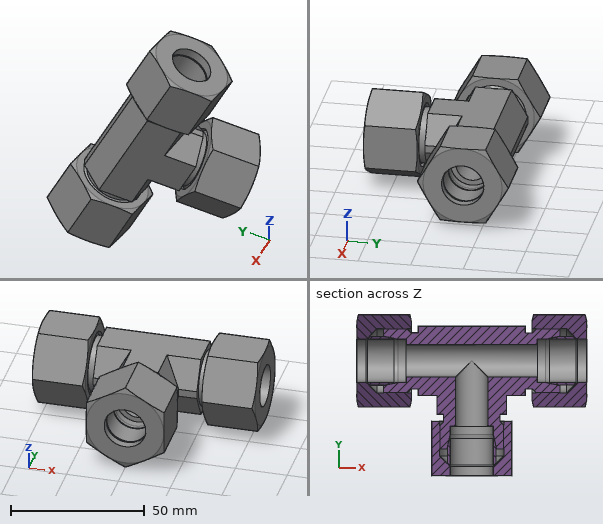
import cadquery as cq
import math


tube_diameter = 16.0
bore_diameter = 12.0
thread_diameter = 24.0

forging_across_flats = 24.0
forging_width = 26.0
forging_end = 20.0
neck_diameter = 21.2
neck_end = 22.7
port_end = 33.0
tube_stop = 24.5
port_cone_half_angle = 12.0
port_mouth_diameter = 18.3

nut_across_flats = 30.0
nut_start = 22.5
nut_end = 43.0
nut_chamfer_angle = 15.0
nut_lip_thickness = 3.5

ring_tip_thickness = 0.3
ring_end_face_width = 0.5

tube_radius = tube_diameter / 2
bore_radius = bore_diameter / 2
thread_radius = thread_diameter / 2
neck_radius = neck_diameter / 2
port_mouth_radius = port_mouth_diameter / 2
port_cone_slope = math.tan(math.radians(port_cone_half_angle))
port_cone_start = port_end - (port_mouth_radius - tube_radius) / port_cone_slope
thread_start = neck_end + (thread_radius - neck_radius)
nut_lip_start = nut_end - nut_lip_thickness
nut_cone_start = nut_lip_start - (thread_radius - tube_radius)
ring_tip = port_cone_start + ring_tip_thickness / port_cone_slope
ring_shoulder = nut_lip_start - (port_mouth_radius - tube_radius)

PORT_ROTATIONS = [
    ((0, 1, 0), 90),
    ((0, 1, 0), -90),
    ((1, 0, 0), 90),
]


def place_on_port(part, rotation):
    axis, angle = rotation
    return part.rotate((0, 0, 0), axis, angle)


def revolve_about_port(points):
    """Revolve a closed (radius, axial position) outline about the Z axis."""
    profile = cq.Workplane("XZ").polyline(points).close()
    return profile.revolve(360, (0, 0, 0), (0, 1, 0))


def hexagon_prism(plane, across_flats, length):
    """Hexagonal prism with two corners on the local X axis of its plane."""
    across_corners = across_flats / math.cos(math.pi / 6)
    return cq.Workplane(plane).polygon(6, across_corners).extrude(length)


def make_forging():
    """T-shaped hexagonal forging, its side corners trimmed to the forging width."""
    run_trim = cq.Workplane("XY").box(2 * forging_end, forging_width, forging_across_flats)
    run = (
        hexagon_prism("YZ", forging_across_flats, 2 * forging_end)
        .translate((-forging_end, 0, 0))
        .intersect(run_trim)
    )
    branch_trim = cq.Workplane("XY").box(forging_width, 2 * forging_end, forging_across_flats)
    branch = hexagon_prism("XZ", forging_across_flats, forging_end).intersect(branch_trim)
    return run.union(branch)


def make_port_stud():
    """Neck relief and thread cylinder of one port."""
    return revolve_about_port([
        (0, 0),
        (neck_radius, 0),
        (neck_radius, neck_end),
        (thread_radius, thread_start),
        (thread_radius, port_end),
        (0, port_end),
    ])


def make_port_cavity():
    """Flow bore, tube socket and sealing cone of one port."""
    return revolve_about_port([
        (0, 0),
        (bore_radius, 0),
        (bore_radius, tube_stop),
        (tube_radius, tube_stop),
        (tube_radius, port_cone_start),
        (port_mouth_radius, port_end),
        (0, port_end),
    ])


def make_body():
    body = make_forging()
    for rotation in PORT_ROTATIONS:
        body = body.union(place_on_port(make_port_stud(), rotation))
    for rotation in PORT_ROTATIONS:
        body = body.cut(place_on_port(make_port_cavity(), rotation))
    return body


def make_cutting_ring():
    """Ring wedged between the port cone and the 45 degree cone of the nut."""
    return revolve_about_port([
        (tube_radius, ring_tip),
        (tube_radius + ring_tip_thickness, ring_tip),
        (port_mouth_radius, port_end),
        (port_mouth_radius, ring_shoulder),
        (tube_radius + ring_end_face_width, nut_lip_start - ring_end_face_width),
        (tube_radius, nut_lip_start - ring_end_face_width),
    ])


def make_nut_chamfer_envelope():
    """Double cone that bevels the hexagon corners at both end faces."""
    face_radius = nut_across_flats / 2
    corner_radius = face_radius / math.cos(math.pi / 6)
    bevel_height = (corner_radius - face_radius) * math.tan(math.radians(nut_chamfer_angle))
    return revolve_about_port([
        (0, nut_start),
        (face_radius, nut_start),
        (corner_radius, nut_start + bevel_height),
        (corner_radius, nut_end - bevel_height),
        (face_radius, nut_end),
        (0, nut_end),
    ])


def make_nut_cavity():
    """Thread bore, 45 degree cone and tube hole through the nut."""
    return revolve_about_port([
        (0, nut_start),
        (thread_radius, nut_start),
        (thread_radius, nut_cone_start),
        (tube_radius, nut_lip_start),
        (tube_radius, nut_end),
        (0, nut_end),
    ])


def make_nut():
    prism = (
        hexagon_prism("XY", nut_across_flats, nut_end - nut_start)
        .rotate((0, 0, 0), (0, 0, 1), 90)
        .translate((0, 0, nut_start))
    )
    return prism.intersect(make_nut_chamfer_envelope()).cut(make_nut_cavity())


body = make_body()
cutting_rings = [place_on_port(make_cutting_ring(), rotation) for rotation in PORT_ROTATIONS]
nuts = [place_on_port(make_nut(), rotation) for rotation in PORT_ROTATIONS]

result = cq.Compound.makeCompound([
    body.val(),
    *[ring.val() for ring in cutting_rings],
    *[nut.val() for nut in nuts],
])